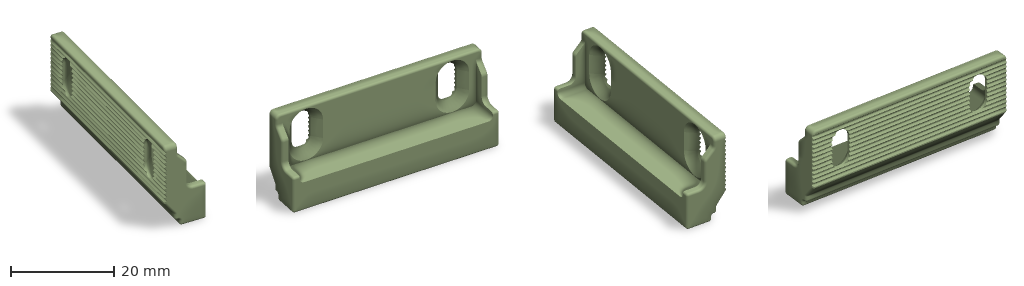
import cadquery as cq
import math

length = 46.65
depth = 9.25
height = 19.0

corner_radius = 1.0
edge_radius = corner_radius / 2

plate_thickness = 2.9
rib_depth = 5.05
ledge_height = 8.15
ledge_radius = 1.4
ramp_radius = 1.0
ramp_top = 16.55
slope_top = 5.93
slope_bottom = 3.0
lip_front = 2.3
lip_bottom = 1.55
foot_front = 3.4

groove_count = 12
top_crest = 18.2
bottom_crest = 6.2
groove_depth = 0.383

end_wall = 1.5
pocket_floor = 6.5
pocket_radius = 1.0

slot_spacing = 33.05
slot_width = 4.2
slot_height = 8.45
slot_center_height = 12.55
slot_land = 0.9
sink_angle = 80.0

front_edge = (0, slope_top)
top_front = (0, height)
top_back = (plate_thickness, height)
ramp_start = (plate_thickness, ramp_top)
ramp_end = (rib_depth, ramp_top - (rib_depth - plate_thickness))
ledge_inside = (rib_depth, ledge_height)
ledge_back = (depth, ledge_height)
bottom_back = (depth, 0)
bottom_front = (foot_front, 0)
step_inside = (foot_front, lip_bottom)
lip_edge = (lip_front, lip_bottom)
slope_end = (lip_front, slope_bottom)

end_outline = [
    front_edge, top_front, top_back, ramp_start, ramp_end, ledge_inside,
    ledge_back, bottom_back, bottom_front, step_inside, lip_edge, slope_end,
]
outer_corners = [top_front, top_back, ledge_back, bottom_back, bottom_front, lip_edge]


def long_edges(body, points):
    """Edges running along X through the given (y, z) profile points."""
    margin = 0.005
    return body.edges("|X").filter(
        lambda edge: any(
            math.hypot(edge.Center().y - y, edge.Center().z - z) < margin for y, z in points
        )
    )


def make_body():
    """Solid bar with all its roundings, before any material is cut away."""
    body = cq.Workplane("YZ").polyline(end_outline).close().extrude(length / 2, both=True)
    body = long_edges(body, [ramp_start, ramp_end]).fillet(ramp_radius)
    body = long_edges(body, [ledge_inside]).fillet(ledge_radius)
    body = long_edges(body, [step_inside, slope_end]).fillet(edge_radius)
    body = body.edges("|Y and >Z").edges("<X or >X").fillet(corner_radius)
    rounded = long_edges(body, outer_corners).add(body.faces("<X or >X").edges())
    return body.newObject(rounded.vals()).fillet(edge_radius)


def make_grooves():
    """Flat-bottomed 90 degree grooves that leave sharp crests between them."""
    pitch = (top_crest - bottom_crest) / groove_count
    groove = (
        cq.Workplane("YZ")
        .polyline([
            (0, 0),
            (groove_depth, groove_depth),
            (groove_depth, pitch - groove_depth),
            (0, pitch),
        ])
        .close()
        .extrude(length / 2, both=True)
    )
    grooves = cq.Workplane()
    for i in range(groove_count):
        grooves.add(groove.translate((0, 0, bottom_crest + i * pitch)).vals())
    return grooves.combine()


def make_pocket():
    """Space behind the plate, open at the top and back, with round lower corners."""
    pocket_length = length - 2 * end_wall
    return (
        cq.Workplane()
        .box(pocket_length, depth, height, centered=(True, False, False))
        .edges("|Y and <Z")
        .fillet(pocket_radius)
        .translate((0, plate_thickness, pocket_floor))
    )


def make_slot(x):
    """Upright slot through the plate, countersunk from the back."""
    back = cq.Workplane("XZ", origin=(x, plate_thickness, slot_center_height))
    slot = back.slot2D(slot_height, slot_width, 90).extrude(plate_thickness)
    sink_depth = plate_thickness - slot_land
    sink_flare = 2 * sink_depth * math.tan(math.radians(sink_angle / 2))
    sink = back.slot2D(slot_height + sink_flare, slot_width + sink_flare, 90).extrude(
        sink_depth, taper=sink_angle / 2
    )
    return slot.union(sink)


result = make_body().cut(make_grooves()).cut(make_pocket())
for side in (-1, 1):
    result = result.cut(make_slot(side * slot_spacing / 2))